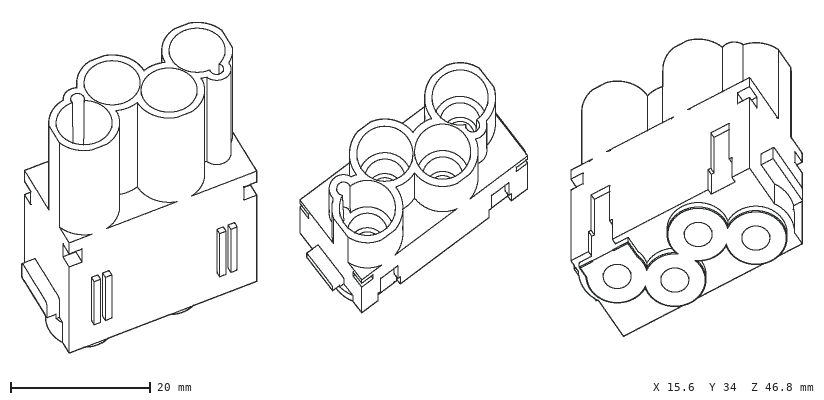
import cadquery as cq
import math

HEIGHT = 46.8
DEPTH = 34.0
WIDTH = 15.6
RIB_DEPTH = 0.9
TAB_DEPTH = 2.0

BODY_WIDTH = WIDTH - RIB_DEPTH
BODY_DEPTH = DEPTH - 2 * TAB_DEPTH
BODY_BOTTOM = 1.4
SHOULDER = 27.15
HALF_WIDTH = BODY_WIDTH / 2
HALF_DEPTH = BODY_DEPTH / 2

CHAMBER_X = 2.4
CHAMBER_PITCH = 6.8
CHAMBERS = [
    (-CHAMBER_X, 1.5 * CHAMBER_PITCH),
    (CHAMBER_X, 0.5 * CHAMBER_PITCH),
    (-CHAMBER_X, -0.5 * CHAMBER_PITCH),
    (CHAMBER_X, -1.5 * CHAMBER_PITCH),
]
TUBE_RADIUS = 5.1
CAVITY_RADIUS = 4.02
CAVITY_FLOOR_RADIUS = 3.85
COUNTERBORE_RADIUS = 2.9
LEDGE_RADIUS = 2.6
LEDGE_HEIGHT = 17.3
HOLE_RADIUS = 2.0

KEY_OFFSET_X = 4.3
KEY_OFFSET_Y = 1.05
KEY_RADIUS = 1.0
KEY_WALL_RADIUS = KEY_RADIUS + TUBE_RADIUS - CAVITY_RADIUS
FIRST_X, FIRST_Y = CHAMBERS[0]
LAST_X, LAST_Y = CHAMBERS[-1]
KEYWAYS = [
    (FIRST_X + KEY_OFFSET_X, FIRST_Y + KEY_OFFSET_Y),
    (LAST_X - KEY_OFFSET_X, LAST_Y + KEY_OFFSET_Y),
]

NOTCH_SIZE = 2.05
NOTCH_BOTTOM = 21.55
NOTCH_TOP = 24.55

RIB_Y = 10.0
RIB_WIDTH = 1.05
RIB_SPACING = 1.8
RIB_BOTTOM = 7.05
RIB_TOP = 17.15
RECESS_WIDTH = 3.1
RECESS_ENTRY_WIDTH = 4.0

FRONT_TAB_WIDTH = 8.25
BACK_TAB_WIDTH = 6.2
TAB_BOTTOM = RIB_BOTTOM
TAB_TOP = 10.6
TAB_CORNER_RADIUS = 0.5
SWELL_RADIUS = 5.55
SWELL_TOP = 6.05

BOSS_RADIUS = 4.5
BOSS_CHAMFER = 0.15
PAD_WIDTH = 8.25


def box(x_min, x_max, y_min, y_max, z_min, z_max):
    """Box given by its limits along each axis."""
    size = (x_max - x_min, y_max - y_min, z_max - z_min)
    return cq.Workplane("XY").box(*size, centered=False).translate((x_min, y_min, z_min))


def cylinders(points, radius, z_min, z_max):
    """Vertical cylinders at the given points."""
    return cq.Workplane("XY", origin=(0, 0, z_min)).pushPoints(points).circle(radius).extrude(z_max - z_min)


def tapered_bores(points, top_radius, bottom_radius, z_min, z_max):
    """Vertical bores that narrow toward the bottom."""
    depth = z_max - z_min
    taper = math.degrees(math.atan2(top_radius - bottom_radius, depth))
    plane = cq.Workplane("XY", origin=(0, 0, z_max)).pushPoints(points).circle(top_radius)
    return plane.extrude(-depth, taper=taper)


def tubes():
    """Chamber tubes and keyway walls, trimmed flush with the block."""
    outline = cylinders(CHAMBERS, TUBE_RADIUS, SHOULDER, HEIGHT)
    outline = outline.union(cylinders(KEYWAYS, KEY_WALL_RADIUS, SHOULDER, HEIGHT))
    return outline.intersect(box(-HALF_WIDTH, HALF_WIDTH, -HALF_DEPTH, HALF_DEPTH, SHOULDER, HEIGHT))


def tab(width, side):
    """End tab on the +Y (side 1) or -Y (side -1) face."""
    y_min, y_max = sorted((side * HALF_DEPTH, side * DEPTH / 2))
    block = box(-width / 2, width / 2, y_min, y_max, TAB_BOTTOM, TAB_TOP)
    return block.edges("|Y and >Z").fillet(TAB_CORNER_RADIUS)


def swelling(chamber, tab_width):
    """Round swelling around an end chamber, taller where it meets the tab."""
    low = cylinders([chamber], SWELL_RADIUS, BODY_BOTTOM, SWELL_TOP)
    tall = cylinders([chamber], SWELL_RADIUS, BODY_BOTTOM, TAB_BOTTOM)
    under_tab = box(-tab_width / 2, tab_width / 2, -DEPTH / 2, DEPTH / 2, BODY_BOTTOM, TAB_BOTTOM)
    within_sides = box(-HALF_WIDTH, HALF_WIDTH, -DEPTH / 2, DEPTH / 2, BODY_BOTTOM, TAB_BOTTOM)
    return low.union(tall.intersect(under_tab)).intersect(within_sides)


def base():
    """Bosses below the block, with a flat pad level with the recess floor."""
    pad_face = -HALF_WIDTH + RIB_DEPTH
    pad = box(pad_face, FIRST_X, RIB_Y - PAD_WIDTH / 2, RIB_Y + PAD_WIDTH / 2, 0, BODY_BOTTOM)
    shape = pad.faces("<Z").edges().chamfer(BOSS_CHAMFER)
    behind_pad_face = box(pad_face, HALF_WIDTH, -HALF_DEPTH, HALF_DEPTH, 0, BODY_BOTTOM)
    for chamber in CHAMBERS:
        boss = cylinders([chamber], BOSS_RADIUS, 0, BODY_BOTTOM).faces("<Z").edges().chamfer(BOSS_CHAMFER)
        if chamber == CHAMBERS[0]:
            boss = boss.intersect(behind_pad_face)
        shape = shape.union(boss)
    return shape


def ribs():
    """Two pairs of vertical ribs on the +X face."""
    centres = [
        group * RIB_Y + offset * RIB_SPACING / 2
        for group in (1, -1)
        for offset in (1, -1)
    ]
    shape = cq.Workplane("XY")
    x_max = HALF_WIDTH + RIB_DEPTH
    for y in centres:
        y_min = y - RIB_WIDTH / 2
        shape = shape.add(box(HALF_WIDTH, x_max, y_min, y_min + RIB_WIDTH, RIB_BOTTOM, RIB_TOP))
    return shape.combine()


def recesses():
    """Stepped recesses in the -X face that take the ribs of a neighbour."""
    floor = -HALF_WIDTH + RIB_DEPTH
    shape = cq.Workplane("XY")
    for y in (RIB_Y, -RIB_Y):
        for width, top in ((RECESS_WIDTH, RIB_TOP), (RECESS_ENTRY_WIDTH, RIB_BOTTOM)):
            shape = shape.add(box(-HALF_WIDTH, floor, y - width / 2, y + width / 2, BODY_BOTTOM, top))
    return shape.combine()


def corner_notches():
    """Square notches across the four vertical corners."""
    corners = [(x, y) for x in (-HALF_WIDTH, HALF_WIDTH) for y in (-HALF_DEPTH, HALF_DEPTH)]
    plane = cq.Workplane("XY", origin=(0, 0, NOTCH_BOTTOM)).pushPoints(corners)
    return plane.rect(2 * NOTCH_SIZE, 2 * NOTCH_SIZE).extrude(NOTCH_TOP - NOTCH_BOTTOM)


block = box(-HALF_WIDTH, HALF_WIDTH, -HALF_DEPTH, HALF_DEPTH, BODY_BOTTOM, SHOULDER)
block = block.cut(corner_notches())
block = block.union(tab(BACK_TAB_WIDTH, 1)).union(tab(FRONT_TAB_WIDTH, -1))
block = block.union(swelling(CHAMBERS[0], BACK_TAB_WIDTH)).union(swelling(CHAMBERS[-1], FRONT_TAB_WIDTH))
block = block.cut(recesses()).union(ribs())

result = block.union(tubes()).union(base())
result = result.cut(tapered_bores(CHAMBERS, CAVITY_RADIUS, CAVITY_FLOOR_RADIUS, SHOULDER, HEIGHT))
result = result.cut(cylinders(KEYWAYS, KEY_RADIUS, SHOULDER, HEIGHT))
result = result.cut(tapered_bores(CHAMBERS, COUNTERBORE_RADIUS, LEDGE_RADIUS, LEDGE_HEIGHT, SHOULDER))
result = result.cut(cylinders(CHAMBERS, HOLE_RADIUS, 0, LEDGE_HEIGHT))